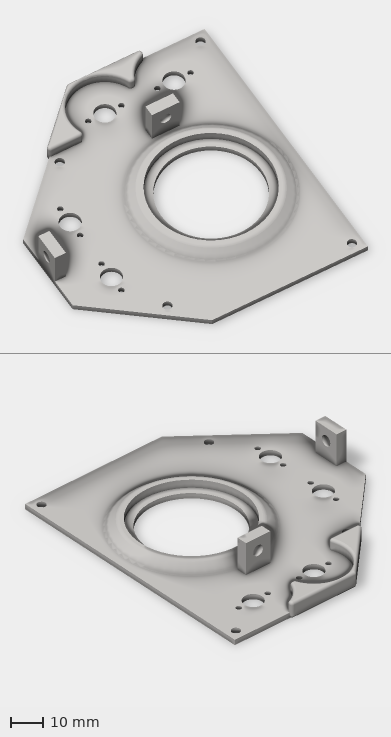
import cadquery as cq
import math

PLATE_THICKNESS = 2.0
PLATE_LEFT = -56.0
PLATE_RIGHT = 43.0
PLATE_BACK = 31.0
PLATE_FRONT = -59.5
FRONT_EDGE_LEFT = -14.2
FRONT_EDGE_RIGHT = 15.8
RIGHT_CORNER_Y = -25.3

RING_TOP = 5.0
RING_BASE_RADIUS = 27.0
RING_TOP_RADIUS = 23.0
RING_FILLET = 2.0
RECESS_RADIUS = 21.0
BORE_RADIUS = 18.0

TAB_WIDTH = 10.0
TAB_THICKNESS = 4.0
TAB_TOP = 14.0
TAB_HOLE_Z = 9.0
TAB_HOLE_DIAMETER = 4.0
SIDE_TAB_LEFT = -31.5

BUTTON_OFFSET = 43.5
BUTTON_PITCH = 25.0
BUTTON_DIAMETER = 7.2
BUTTON_SCREW_OFFSET = 6.0
BUTTON_SCREW_DIAMETER = 2.0

MOUNT_DIAMETER = 3.2
MOUNT_INSET = 3.6
FRONT_MOUNT_Y = -34.3
FRONT_MOUNT_X = (-34.3, 31.0)

GUARD_TOP = 6.0
GUARD_OVERHANG = 1.0
GUARD_ROUND = 1.0
GUARD_BACK = 8.4
GUARD_RIGHT = -37.5
GUARD_TIP_X = -47.6
SCALLOP_RADIUS = 12.3
SPARE_WALL = 5.0

half_pitch = BUTTON_PITCH / 2
side_buttons = [(-BUTTON_OFFSET, half_pitch), (-BUTTON_OFFSET, -half_pitch)]
front_buttons = [(-half_pitch, -BUTTON_OFFSET), (half_pitch, -BUTTON_OFFSET)]

bevel_sum = FRONT_EDGE_LEFT + PLATE_FRONT


def make_plate():
    outline = [
        (PLATE_LEFT, PLATE_BACK),
        (PLATE_RIGHT, PLATE_BACK),
        (PLATE_RIGHT, RIGHT_CORNER_Y),
        (FRONT_EDGE_RIGHT, PLATE_FRONT),
        (FRONT_EDGE_LEFT, PLATE_FRONT),
        (PLATE_LEFT, bevel_sum - PLATE_LEFT),
    ]
    return cq.Workplane("XY").polyline(outline).close().extrude(PLATE_THICKNESS)


def add_ring(body):
    cone = (
        cq.Workplane("XZ")
        .moveTo(0, PLATE_THICKNESS)
        .lineTo(RING_BASE_RADIUS, PLATE_THICKNESS)
        .lineTo(RING_TOP_RADIUS, RING_TOP)
        .lineTo(0, RING_TOP)
        .close()
        .revolve(360, (0, 0, 0), (0, 1, 0))
    )
    margin = PLATE_THICKNESS / 10
    cone_edges = cq.selectors.BoxSelector(
        (-RING_BASE_RADIUS, -RING_BASE_RADIUS, PLATE_THICKNESS - margin),
        (RING_BASE_RADIUS, RING_BASE_RADIUS, RING_TOP + margin),
        boundingbox=False,
    )
    body = body.union(cone)
    return body.edges("%CIRCLE").edges(cone_edges).fillet(RING_FILLET)


def bore_ring(body):
    recess = cq.Workplane("XY").workplane(offset=PLATE_THICKNESS).circle(RECESS_RADIUS).extrude(RING_TOP)
    bore = cq.Workplane("XY").circle(BORE_RADIUS).extrude(PLATE_THICKNESS)
    return body.cut(recess).cut(bore)


def make_tab():
    """Tab standing along X, with its front face on y = 0."""
    blank = cq.Workplane("XY").box(TAB_WIDTH, TAB_THICKNESS, TAB_TOP, centered=(True, False, False))
    hole = (
        cq.Workplane("XZ")
        .center(0, TAB_HOLE_Z)
        .circle(TAB_HOLE_DIAMETER / 2)
        .extrude(-TAB_THICKNESS)
    )
    return blank.cut(hole)


def make_guard_block(overhang):
    """Guard without its scallops, reaching past the plate's left and bevelled edges by the overhang."""
    left = PLATE_LEFT - overhang
    outer_sum = bevel_sum - overhang * math.sqrt(2)
    outline = [
        (left, GUARD_BACK),
        (GUARD_TIP_X, GUARD_BACK),
        (GUARD_TIP_X, -half_pitch),
        (GUARD_RIGHT, -half_pitch),
        (GUARD_RIGHT, outer_sum - GUARD_RIGHT),
        (left, outer_sum - left),
    ]
    return cq.Workplane("XY").polyline(outline).close().extrude(GUARD_TOP)


def make_guard():
    """Common part of a rounded outer block and a wider block whose scallops are rounded.

    The wall beside the lower scallop is thinner than the two roundings that meet on top of it,
    so the outer and inner edges are rounded on separate blocks.
    """
    outer = make_guard_block(GUARD_OVERHANG)
    outer = outer.edges("|Z").fillet(GUARD_ROUND)
    outer = outer.faces("<Z or >Z").edges().fillet(GUARD_ROUND)

    scallops = cq.Workplane("XY").pushPoints(side_buttons).circle(SCALLOP_RADIUS).extrude(GUARD_TOP)
    inner = make_guard_block(GUARD_OVERHANG + SPARE_WALL).cut(scallops)
    inner = inner.edges("|Z").fillet(GUARD_ROUND)
    inner = inner.faces(">Z").edges().fillet(GUARD_ROUND)
    return outer.intersect(inner)


def drill(body, points, diameter):
    return body.cut(cq.Workplane("XY").pushPoints(points).circle(diameter / 2).extrude(PLATE_THICKNESS))


body = bore_ring(add_ring(make_plate()))

front_tab = make_tab().translate((0, PLATE_FRONT, 0))
side_tab = make_tab().rotate((0, 0, 0), (0, 0, 1), -90).translate((SIDE_TAB_LEFT, 0, 0))
body = body.union(front_tab).union(side_tab).union(make_guard())

button_screws = []
for shift in (-BUTTON_SCREW_OFFSET, BUTTON_SCREW_OFFSET):
    button_screws += [(x, y + shift) for x, y in side_buttons]
    button_screws += [(x + shift, y) for x, y in front_buttons]

mounts = [(x, FRONT_MOUNT_Y) for x in FRONT_MOUNT_X]
mounts += [(x, PLATE_BACK - MOUNT_INSET) for x in (PLATE_LEFT + MOUNT_INSET, PLATE_RIGHT - MOUNT_INSET)]

body = drill(body, side_buttons + front_buttons, BUTTON_DIAMETER)
body = drill(body, button_screws, BUTTON_SCREW_DIAMETER)
result = drill(body, mounts, MOUNT_DIAMETER)